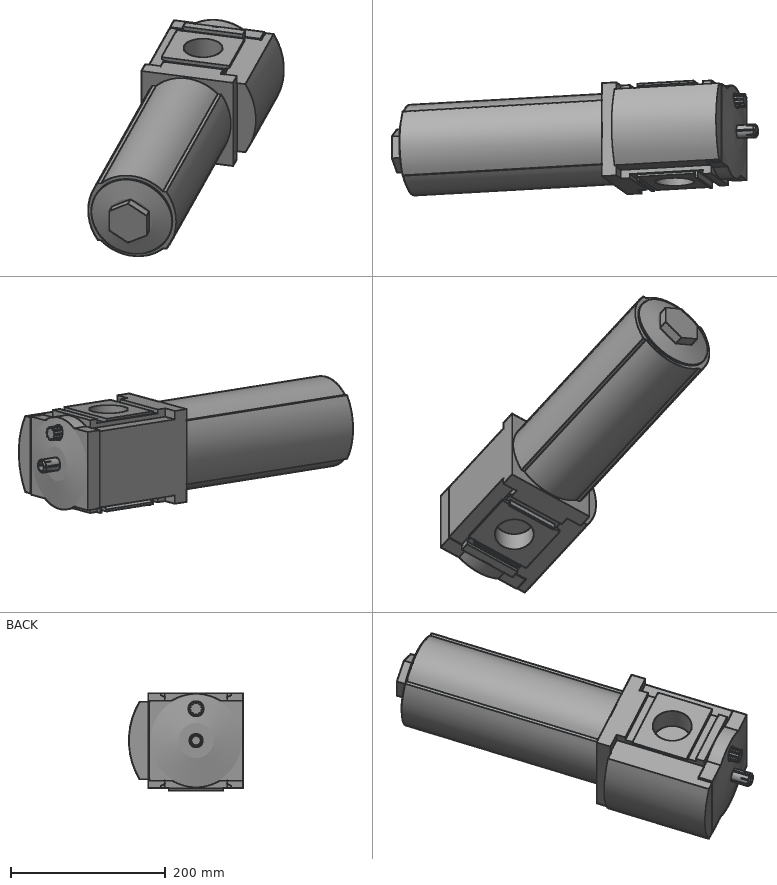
import cadquery as cq


OVERALL_LENGTH = 483

HEAD_LEFT = -61.0
HEAD_RIGHT = 62.0
HEAD_HALF_HEIGHT = 61.5
HEAD_LENGTH = 141.0
FLANGE_LENGTH = 19.5
STRIP_HALF_HEIGHT = 50.0
RAIL_HALF_WIDTH = 40.0
RECESS_FLOOR = 56.0
RECESS_START = 31.5
RECESS_END = 129.5

PORT_START = 43.0
PORT_END = 118.5
PORT_HALF_WIDTH = 45.5
PORT_RIM = 3.0
PORT_DIAMETER = 50.0
PORT_DEPTH = 30.5
LIP_HALF_WIDTH = 35.5
LIP_THICKNESS = 3.0
LIP_PROJECTION = 3.5

COVER_START = 20.5
COVER_FLAT_X = 73.0
COVER_CROWN_X = 87.0

CAP_LENGTH = 19.5
CAP_RADIUS = 60.5
CAP_HALF_HEIGHT = 51.5
CAP_TOP = HEAD_LENGTH + CAP_LENGTH
DOME_BASE_RADIUS = 59.0
DOME_TOP_RADIUS = 22.5
DOME_HEIGHT = 5.5
DOME_TOP = CAP_TOP + DOME_HEIGHT

KNOB_DIAMETER = 17.5
KNOB_RADIUS = KNOB_DIAMETER / 2
SPLIT_KNOB_END = 191.0
SPLIT_KNOB_BORE = 12.0
SPLIT_KNOB_CHAMFER = 2.5
SLOT_WIDTH = 1.5
NOTCH_OFFSET = 6.0
NOTCH_START = 179.0
FLUTED_KNOB_END = 175.0
FLUTED_KNOB_Z = 41.0
FLUTED_KNOB_CLEARANCE = 20.0
FLUTED_KNOB_BASE = 159.0
FLUTE_COUNT = 10
FLUTE_DIAMETER = 3.2

BOWL_RADIUS = 59.0
BOWL_LENGTH = 272.0
BOWL_RIB_HALF_HEIGHT = 42.0
BOWL_RIB_EDGE_X = 46.0
BOWL_LIP_RADIUS = 54.0
BOWL_LIP_LENGTH = 2.5
BOWL_CONE_LENGTH = 5.5
PLUG_DIAMETER = 57.5
PLUG_SIDES = 6
PLUG_TURN = 30
PLUG_END = OVERALL_LENGTH - SPLIT_KNOB_END


def block(x_range, y_range, z_range):
    """Box between the given limits."""
    sizes = [high - low for low, high in (x_range, y_range, z_range)]
    corner = (x_range[0], y_range[0], z_range[0])
    return cq.Workplane("XY").box(*sizes, centered=False).translate(corner)


def cross_section(y):
    """Sketch plane at height y with local axes along X and Z; extruding by a positive length goes to -Y."""
    return cq.Workplane("XZ", origin=(0, y, 0))


def rod(diameter, y_start, y_end, z=0):
    """Cylinder along Y."""
    return cross_section(y_end).center(0, z).circle(diameter / 2).extrude(y_end - y_start)


def both_faces(top_feature):
    """The feature on the top face together with its mirror image on the bottom face."""
    return top_feature.union(top_feature.mirror("XY"))


def make_head():
    head = block((HEAD_LEFT, HEAD_RIGHT), (0, HEAD_LENGTH), (-HEAD_HALF_HEIGHT, HEAD_HALF_HEIGHT))
    strip_length = (FLANGE_LENGTH, HEAD_LENGTH)
    strip_height = (STRIP_HALF_HEIGHT, HEAD_HALF_HEIGHT)
    left_strip = block((HEAD_LEFT, -RAIL_HALF_WIDTH), strip_length, strip_height)
    right_strip = block((RAIL_HALF_WIDTH, HEAD_RIGHT), strip_length, strip_height)
    recess = block(
        (-RAIL_HALF_WIDTH, RAIL_HALF_WIDTH),
        (RECESS_START, RECESS_END),
        (RECESS_FLOOR, HEAD_HALF_HEIGHT),
    )
    for pocket in (left_strip, right_strip, recess):
        head = head.cut(both_faces(pocket))
    return head


def make_port_plate():
    """Plate that overhangs the raised band, with a sloped underside."""
    rim_bottom = HEAD_HALF_HEIGHT - PORT_RIM
    return (
        cross_section(PORT_END)
        .moveTo(-RAIL_HALF_WIDTH, RECESS_FLOOR)
        .lineTo(-PORT_HALF_WIDTH, rim_bottom)
        .lineTo(-PORT_HALF_WIDTH, HEAD_HALF_HEIGHT)
        .lineTo(PORT_HALF_WIDTH, HEAD_HALF_HEIGHT)
        .lineTo(PORT_HALF_WIDTH, rim_bottom)
        .lineTo(RAIL_HALF_WIDTH, RECESS_FLOOR)
        .close()
        .extrude(PORT_END - PORT_START)
    )


def make_port_hole():
    middle = (PORT_START + PORT_END) / 2
    return (
        cq.Workplane("XY", origin=(0, middle, HEAD_HALF_HEIGHT - PORT_DEPTH))
        .circle(PORT_DIAMETER / 2)
        .extrude(PORT_DEPTH)
    )


def make_bottom_lips():
    """Two ribs along the ends of the bottom port plate."""
    width = (-LIP_HALF_WIDTH, LIP_HALF_WIDTH)
    height = (-HEAD_HALF_HEIGHT - LIP_PROJECTION, -RECESS_FLOOR)
    near_lip = block(width, (PORT_START - LIP_THICKNESS, PORT_START), height)
    far_lip = block(width, (PORT_END, PORT_END + LIP_THICKNESS), height)
    return near_lip.union(far_lip)


def make_side_cover():
    return (
        cross_section(CAP_TOP)
        .moveTo(HEAD_RIGHT, -STRIP_HALF_HEIGHT)
        .lineTo(COVER_FLAT_X, -STRIP_HALF_HEIGHT)
        .threePointArc((COVER_CROWN_X, 0), (COVER_FLAT_X, STRIP_HALF_HEIGHT))
        .lineTo(HEAD_RIGHT, STRIP_HALF_HEIGHT)
        .close()
        .extrude(CAP_TOP - COVER_START)
    )


def make_cap():
    """Flat block merged with a disc and topped by a shallow cone."""
    flat_block = block(
        (-CAP_RADIUS, CAP_RADIUS), (HEAD_LENGTH, CAP_TOP), (-CAP_HALF_HEIGHT, CAP_HALF_HEIGHT)
    )
    disc = rod(2 * CAP_RADIUS, HEAD_LENGTH, CAP_TOP)
    dome = (
        cq.Workplane("XY")
        .moveTo(0, CAP_TOP)
        .lineTo(DOME_BASE_RADIUS, CAP_TOP)
        .lineTo(DOME_TOP_RADIUS, DOME_TOP)
        .lineTo(0, DOME_TOP)
        .close()
        .revolve(360, (0, 0, 0), (0, 1, 0))
    )
    return flat_block.union(disc).union(dome)


def make_split_knob():
    """Tube on the axis, divided by crossed slots and notched at its four corners."""
    length = SPLIT_KNOB_END - DOME_TOP
    knob = rod(KNOB_DIAMETER, CAP_TOP, SPLIT_KNOB_END).faces(">Y").chamfer(SPLIT_KNOB_CHAMFER)
    knob = knob.cut(rod(SPLIT_KNOB_BORE, DOME_TOP, SPLIT_KNOB_END))
    for slot_size in ((KNOB_DIAMETER, SLOT_WIDTH), (SLOT_WIDTH, KNOB_DIAMETER)):
        knob = knob.cut(cross_section(SPLIT_KNOB_END).rect(*slot_size).extrude(length))
    notch_size = KNOB_RADIUS - NOTCH_OFFSET
    notch_spacing = KNOB_RADIUS + NOTCH_OFFSET
    notches = (
        cross_section(SPLIT_KNOB_END)
        .rect(notch_spacing, notch_spacing, forConstruction=True)
        .vertices()
        .rect(notch_size, notch_size)
        .extrude(SPLIT_KNOB_END - NOTCH_START)
    )
    return knob.cut(notches)


def make_fluted_knob():
    knob = rod(KNOB_DIAMETER, FLUTED_KNOB_BASE, FLUTED_KNOB_END, FLUTED_KNOB_Z)
    flutes = (
        cross_section(FLUTED_KNOB_END)
        .center(0, FLUTED_KNOB_Z)
        .polarArray(KNOB_RADIUS, 90, 360, FLUTE_COUNT)
        .circle(FLUTE_DIAMETER / 2)
        .extrude(FLUTED_KNOB_END - FLUTED_KNOB_BASE)
    )
    return knob.cut(flutes)


def make_bowl():
    """Round bowl with two bowed side ribs, closed by a lip, a shallow cone and a hexagonal plug."""
    rib_outline = (
        cross_section(0)
        .moveTo(-BOWL_RIB_EDGE_X, -BOWL_RIB_HALF_HEIGHT)
        .lineTo(BOWL_RIB_EDGE_X, -BOWL_RIB_HALF_HEIGHT)
        .threePointArc((BOWL_RADIUS, 0), (BOWL_RIB_EDGE_X, BOWL_RIB_HALF_HEIGHT))
        .lineTo(-BOWL_RIB_EDGE_X, BOWL_RIB_HALF_HEIGHT)
        .threePointArc((-BOWL_RADIUS, 0), (-BOWL_RIB_EDGE_X, -BOWL_RIB_HALF_HEIGHT))
        .close()
    )
    ribs = rib_outline.extrude(BOWL_LENGTH)
    lip_end = -BOWL_LENGTH - BOWL_LIP_LENGTH
    cone_end = lip_end - BOWL_CONE_LENGTH
    end_cap = (
        cq.Workplane("XY")
        .moveTo(0, -BOWL_LENGTH)
        .lineTo(BOWL_LIP_RADIUS, -BOWL_LENGTH)
        .lineTo(BOWL_LIP_RADIUS, lip_end)
        .lineTo(PLUG_DIAMETER / 2, cone_end)
        .lineTo(0, cone_end)
        .close()
        .revolve(360, (0, 0, 0), (0, 1, 0))
    )
    plug = (
        cross_section(cone_end)
        .polygon(PLUG_SIDES, PLUG_DIAMETER)
        .extrude(PLUG_END + cone_end)
        .rotate((0, 0, 0), (0, 1, 0), PLUG_TURN)
    )
    return rod(2 * BOWL_RADIUS, -BOWL_LENGTH, 0).union(ribs).union(end_cap).union(plug)


head = make_head().union(both_faces(make_port_plate())).cut(both_faces(make_port_hole()))
cap = make_cap().cut(rod(FLUTED_KNOB_CLEARANCE, FLUTED_KNOB_BASE, DOME_TOP, FLUTED_KNOB_Z))

result = head
for component in (
    make_bottom_lips(),
    make_side_cover(),
    cap,
    make_split_knob(),
    make_fluted_knob(),
    make_bowl(),
):
    result = result.union(component)